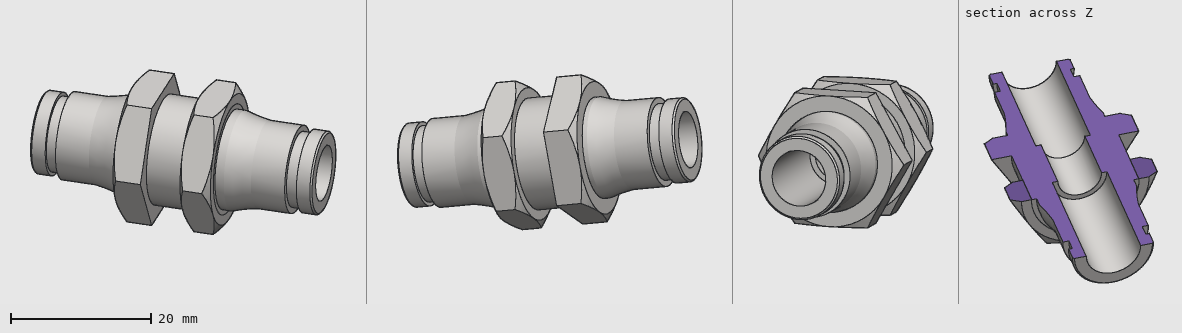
import cadquery as cq
import math

length = 42.0
center_x = length / 2

end_chamfer = 0.25
rim_end = 2.25
groove_end = 3.9
sleeve_end = 8.9
flare_end = 12.7
rim_radius = 6.05
groove_radius = 5.5
sleeve_radius = 6.4
collar_radius = 7.25
flare_sag = 0.1

across_flats = 19.0
hex_thickness = 4.55
flange_start = 13.45
nut_start = 23.45
nut_end = nut_start + hex_thickness
thread_radius = 8.02
hex_chamfer_angle = 30.0

tube_radius = 4.05
through_radius = 3.25
tube_depth = 16.8

flare_middle = (
    (sleeve_end + flare_end) / 2,
    (sleeve_radius + collar_radius) / 2 - flare_sag,
)

flat_radius = across_flats / 2
corner_radius = flat_radius / math.cos(math.pi / 6)
chamfer_run = (corner_radius - flat_radius) * math.tan(math.radians(hex_chamfer_angle))


def cylinder(radius, start, end):
    """Cylinder along X between two positions."""
    return cq.Workplane("YZ", origin=(start, 0, 0)).circle(radius).extrude(end - start)


def hex_block(start, chamfer_both_faces):
    """Hexagon with corners on +-Y, its corners coned at the -X face or at both faces."""
    block = (
        cq.Workplane("YZ", origin=(start, 0, 0))
        .polygon(6, 2 * corner_radius)
        .extrude(hex_thickness)
    )
    outline = [(0, 0), (0, flat_radius), (chamfer_run, corner_radius)]
    if chamfer_both_faces:
        outline += [(hex_thickness - chamfer_run, corner_radius), (hex_thickness, flat_radius)]
    else:
        outline += [(hex_thickness, corner_radius)]
    outline += [(hex_thickness, 0)]
    envelope = (
        cq.Workplane("XY", origin=(start, 0, 0))
        .polyline(outline)
        .close()
        .revolve(360, (0, 0, 0), (1, 0, 0))
    )
    return block.intersect(envelope)


def tube_sleeve():
    """Left-hand sleeve: chamfered rim, groove, cylinder, flare and collar."""
    return (
        cq.Workplane("XY")
        .lineTo(0, rim_radius - end_chamfer)
        .lineTo(end_chamfer, rim_radius)
        .lineTo(rim_end, rim_radius)
        .lineTo(rim_end, groove_radius)
        .lineTo(groove_end, groove_radius)
        .lineTo(groove_end, sleeve_radius)
        .lineTo(sleeve_end, sleeve_radius)
        .threePointArc(flare_middle, (flare_end, collar_radius))
        .lineTo(center_x, collar_radius)
        .lineTo(center_x, 0)
        .close()
        .revolve(360, (0, 0, 0), (1, 0, 0))
    )


def make_fitting():
    """Hollow fitting: two sleeves, a fixed hexagon and the thread that carries the nut."""
    left = tube_sleeve()
    right = left.mirror("YZ", (center_x, 0, 0))
    thread = cylinder(thread_radius, flange_start + hex_thickness, nut_end)
    body = left.union(right).union(thread).union(hex_block(flange_start, False))
    body = body.cut(cylinder(through_radius, 0, length))
    for start in (0, length - tube_depth):
        body = body.cut(cylinder(tube_radius, start, start + tube_depth))
    return body


def make_lock_nut():
    """Separate hexagon nut seated on the thread."""
    return hex_block(nut_start, True).cut(cylinder(thread_radius, nut_start, nut_end))


fitting = make_fitting()
lock_nut = make_lock_nut()

result = cq.Compound.makeCompound([fitting.val(), lock_nut.val()])